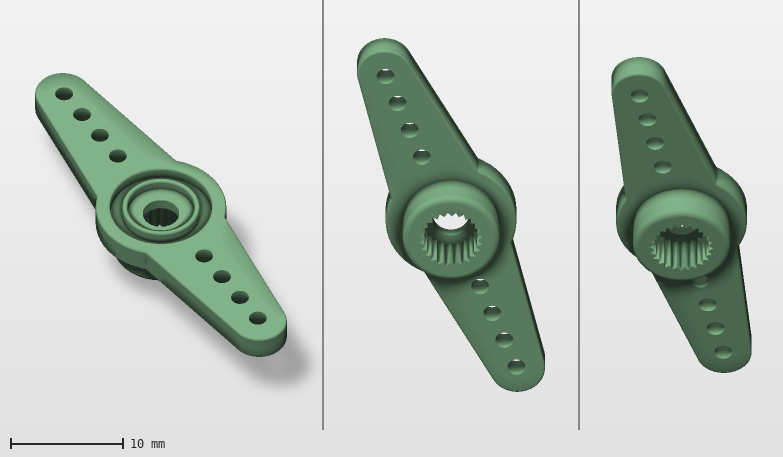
import cadquery as cq
import math


length = 37.85
plate_thickness = 2.35
tip_radius = 2.45
boss_radius = 5.83
arm_root_x = 4.1
edge_round = 0.2

hole_diameter = 1.6
holes_per_arm = 4
first_hole_x = 7.23
last_hole_x = 16.25

hub_radius = 4.3
hub_height = 3.05
hub_round = 0.53

groove_radius = 4.55
groove_depth = 1.15
rim_outer_radius = 3.45
recess_radius = 3.0
recess_depth = 1.0

screw_hole_radius = 1.63
socket_roof_depth = 2.0
spline_teeth = 24
spline_tip_radius = 2.42
spline_root_radius = 2.85

hub_embed = 0.38

hub_bottom = -hub_height


def disc(radius, bottom, top):
    """Upright cylinder on the spindle axis."""
    return cq.Workplane("XY").workplane(offset=bottom).circle(radius).extrude(top - bottom)


def arm_plate():
    """Two tapered arms with round tips, running into a round boss at the middle."""
    tip_centre_x = length / 2 - tip_radius
    root_y = math.sqrt(boss_radius**2 - arm_root_x**2)

    run = arm_root_x - tip_centre_x
    distance = math.hypot(run, root_y)
    tangent_angle = math.atan2(root_y, run) - math.acos(tip_radius / distance)
    side_x = tip_centre_x + tip_radius * math.cos(tangent_angle)
    side_y = tip_radius * math.sin(tangent_angle)

    outline = (
        cq.Workplane("XY")
        .moveTo(arm_root_x, -root_y)
        .lineTo(side_x, -side_y)
        .threePointArc((length / 2, 0), (side_x, side_y))
        .lineTo(arm_root_x, root_y)
        .threePointArc((0, boss_radius), (-arm_root_x, root_y))
        .lineTo(-side_x, side_y)
        .threePointArc((-length / 2, 0), (-side_x, -side_y))
        .lineTo(-arm_root_x, -root_y)
        .threePointArc((0, -boss_radius), (arm_root_x, -root_y))
        .close()
    )
    plate = outline.extrude(plate_thickness)
    return plate.faces("<Z or >Z").edges().fillet(edge_round)


def hub():
    """Round hub with a rounded lower edge, reaching into the plate."""
    return disc(hub_radius, hub_bottom, hub_embed).faces("<Z").edges().fillet(hub_round)


def spline_socket():
    """Toothed cutter with straight-sided teeth, root to tip all the way round."""
    half_pitch = math.pi / spline_teeth
    points = []
    for step in range(2 * spline_teeth):
        radius = spline_tip_radius if step % 2 else spline_root_radius
        points.append((radius * math.cos(step * half_pitch), radius * math.sin(step * half_pitch)))
    socket_roof = plate_thickness - socket_roof_depth
    start = cq.Workplane("XY").workplane(offset=hub_bottom)
    return start.polyline(points).close().extrude(socket_roof - hub_bottom)


def linkage_holes():
    """Evenly spaced through holes along both arms."""
    pitch = (last_hole_x - first_hole_x) / (holes_per_arm - 1)
    centres = []
    for index in range(holes_per_arm):
        x = first_hole_x + index * pitch
        centres += [(x, 0), (-x, 0)]
    return cq.Workplane("XY").pushPoints(centres).circle(hole_diameter / 2).extrude(plate_thickness)


def with_top_recesses(body):
    """Cut the groove and the screw recess, then round their upper edges."""
    groove_floor = plate_thickness - groove_depth
    recess_floor = plate_thickness - recess_depth
    groove = disc(groove_radius, groove_floor, plate_thickness)
    groove = groove.cut(disc(rim_outer_radius, groove_floor, plate_thickness))
    body = body.cut(groove).cut(disc(recess_radius, recess_floor, plate_thickness))

    reach = (groove_radius + boss_radius) / 2
    margin = edge_round / 2
    mouth = cq.selectors.BoxSelector(
        (-reach, -reach, plate_thickness - margin),
        (reach, reach, plate_thickness + margin),
        boundingbox=True,
    )
    return body.edges(mouth).fillet(edge_round)


body = with_top_recesses(arm_plate().union(hub()))
screw_hole = disc(screw_hole_radius, hub_bottom, plate_thickness)
result = body.cut(screw_hole).cut(spline_socket()).cut(linkage_holes())